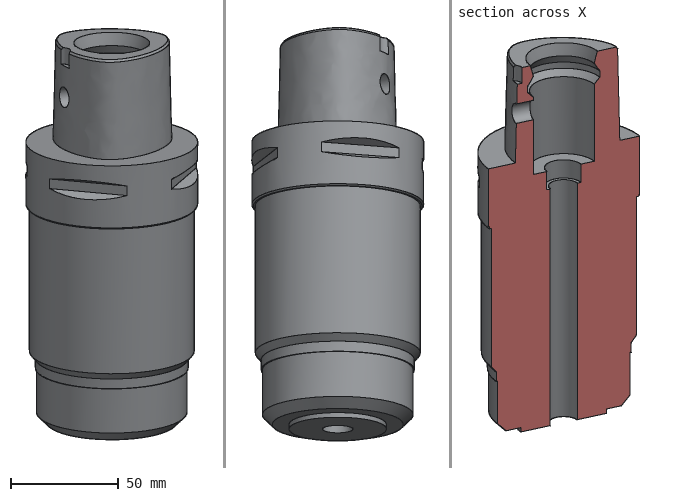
import cadquery as cq
import math

total_height = 185.4
flange_top = 137.5
flange_bottom = 106.8
flange_chamfer = 0.7
body_bottom = 36.5
collar_top = 33.2
collar_bottom = 28.4
sleeve_chamfer_top = 6.9
sleeve_bottom = 2.2

flange_diameter = 80.0
flange_radius = flange_diameter / 2
body_radius = 38.4
collar_radius = 35.6
sleeve_radius = 35.0
sleeve_end_radius = 30.4
nose_radius = 22.6

shank_base_radius = 27.6
shank_taper = 0.05
lobe_size = 2.0
shank_chamfer_height = 1.1
shank_chamfer_width = 0.7
outline_points = 72

mouth_radius = 17.6
bore_radius = 16.0
groove_radius = 19.0
mouth_depth = 6.0
groove_wall_top_depth = 10.4
groove_wall_bottom_depth = 13.5
groove_bottom_depth = 16.5
bore_depth = 55.6
step_radius = 8.9
step_depth = 64.9
through_radius = 7.0

key_radius = 4.8
key_depth = 8.0
key_axis_y = -26.9
cross_hole_radius = 4.8
cross_hole_z = 162.5

slot_count = 4
slot_z = 125.3
slot_floor_distance = 35.2
slot_floor_height = 4.6
slot_mouth_height = 9.0
slot_length = 2 * math.sqrt(flange_radius**2 - slot_floor_distance**2)


def revolve_profile(points):
    return cq.Workplane("XZ").polyline(points).close().revolve(360, (0, 0), (0, 1))


def lobed_outline(mean_radius, z):
    """Constant-width three-lobed curve whose tangent distance is mean_radius + lobe_size * cos(3a)."""
    points = []
    for i in range(outline_points):
        angle = 2 * math.pi * i / outline_points
        reach = mean_radius + lobe_size * math.cos(3 * angle)
        slip = -3 * lobe_size * math.sin(3 * angle)
        x = reach * math.sin(angle) + slip * math.cos(angle)
        y = reach * math.cos(angle) - slip * math.sin(angle)
        points.append(cq.Vector(x, y, z))
    return cq.Wire.assembleEdges([cq.Edge.makeSpline(points, periodic=True)])


def make_body():
    return revolve_profile([
        (0, 0),
        (nose_radius, 0),
        (nose_radius, sleeve_bottom),
        (sleeve_end_radius, sleeve_bottom),
        (sleeve_radius, sleeve_chamfer_top),
        (sleeve_radius, collar_bottom),
        (collar_radius, collar_bottom),
        (collar_radius, collar_top),
        (body_radius, body_bottom),
        (body_radius, flange_bottom),
        (flange_radius - flange_chamfer, flange_bottom),
        (flange_radius, flange_bottom + flange_chamfer),
        (flange_radius, flange_top),
        (0, flange_top),
    ])


def make_shank():
    chamfer_z = total_height - shank_chamfer_height
    upper_radius = shank_base_radius - shank_taper / 2 * (chamfer_z - flange_top)
    base = lobed_outline(shank_base_radius, flange_top)
    upper = lobed_outline(upper_radius, chamfer_z)
    face = lobed_outline(upper_radius - shank_chamfer_width, total_height)
    taper = cq.Workplane(cq.Solid.makeLoft([base, upper], True))
    return taper.union(cq.Workplane(cq.Solid.makeLoft([upper, face], True)))


def make_bore():
    return revolve_profile([
        (0, total_height),
        (mouth_radius, total_height),
        (bore_radius, total_height - mouth_depth),
        (groove_radius, total_height - groove_wall_top_depth),
        (groove_radius, total_height - groove_wall_bottom_depth),
        (bore_radius, total_height - groove_bottom_depth),
        (bore_radius, total_height - bore_depth),
        (step_radius, total_height - bore_depth),
        (step_radius, total_height - step_depth),
        (through_radius, total_height - step_depth),
        (through_radius, 0),
        (0, 0),
    ])


def make_key_notch():
    floor = cq.Workplane("XY", origin=(0, key_axis_y, total_height - key_depth))
    return floor.circle(key_radius).extrude(key_depth)


def make_cross_hole():
    axis_plane = cq.Workplane("XZ", origin=(0, 0, cross_hole_z))
    return axis_plane.circle(cross_hole_radius).extrude(flange_radius)


def make_gripper_slot(angle):
    half_floor = slot_floor_height / 2
    half_mouth = slot_mouth_height / 2
    section = [
        (slot_floor_distance, slot_z - half_floor),
        (flange_radius, slot_z - half_mouth),
        (flange_radius, slot_z + half_mouth),
        (slot_floor_distance, slot_z + half_floor),
    ]
    slot = cq.Workplane("XZ").polyline(section).close().extrude(slot_length / 2, both=True)
    return slot.rotate((0, 0, 0), (0, 0, 1), angle)


result = make_body().union(make_shank())
result = result.cut(make_bore()).cut(make_key_notch()).cut(make_cross_hole())
for i in range(slot_count):
    result = result.cut(make_gripper_slot((i + 0.5) * 360 / slot_count))